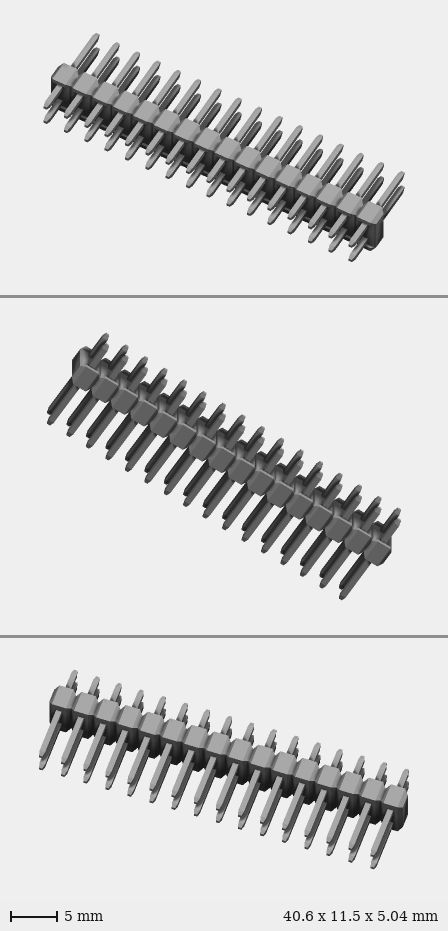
import cadquery as cq


positions = 16
pitch = 2.54
row_spacing = pitch

block_width = pitch
block_depth = pitch
block_height = 5.04
bevel = 0.46
recess_depth = 0.3
lip_height = 0.55
recess_height = block_height - 2 * lip_height

pin_size = 0.64
pin_tip_size = 0.38
pin_tip_length = 0.54
pin_front_reach = 3.0
pin_back_reach = 6.0

block_front = -block_depth / 2
block_back = block_depth / 2
pin_front = block_front - pin_front_reach
pin_back = block_back + pin_back_reach


def make_block():
    """One insulator block: bevelled vertical and Y edges, front face recessed between two lips."""
    box = cq.Workplane("XY").box(block_width, block_depth, block_height)
    upright_bevels = box.edges("|Z").chamfer(bevel)
    end_bevels = box.edges("|Y").chamfer(bevel)
    recess = (
        cq.Workplane("XY")
        .box(block_width, 2 * recess_depth, recess_height)
        .translate((0, block_front, 0))
    )
    return upright_bevels.intersect(end_bevels).cut(recess)


def make_pin_tip(base_y, direction):
    """Tapered square tip that starts at base_y and points along direction (+1 or -1) on Y."""
    base = cq.Plane(origin=(0, base_y, 0), xDir=(1, 0, 0), normal=(0, direction, 0))
    return (
        cq.Workplane(base)
        .rect(pin_size, pin_size)
        .workplane(offset=pin_tip_length)
        .rect(pin_tip_size, pin_tip_size)
        .loft()
    )


def make_pin():
    """Square pin along Y with a tapered tip at each end."""
    shank_front = pin_front + pin_tip_length
    shank_back = pin_back - pin_tip_length
    shank = (
        cq.Workplane("XY")
        .box(pin_size, shank_back - shank_front, pin_size)
        .translate((0, (shank_front + shank_back) / 2, 0))
    )
    return shank.union(make_pin_tip(shank_front, -1)).union(make_pin_tip(shank_back, 1))


def make_unit():
    """One block with its lower and upper pin."""
    unit = make_block()
    pin = make_pin()
    for row_z in (-row_spacing / 2, row_spacing / 2):
        unit = unit.union(pin.translate((0, 0, row_z)))
    return unit


unit = make_unit()
first_x = -pitch * (positions - 1) / 2
result = unit.translate((first_x, 0, 0))
for index in range(1, positions):
    result = result.union(unit.translate((first_x + index * pitch, 0, 0)))